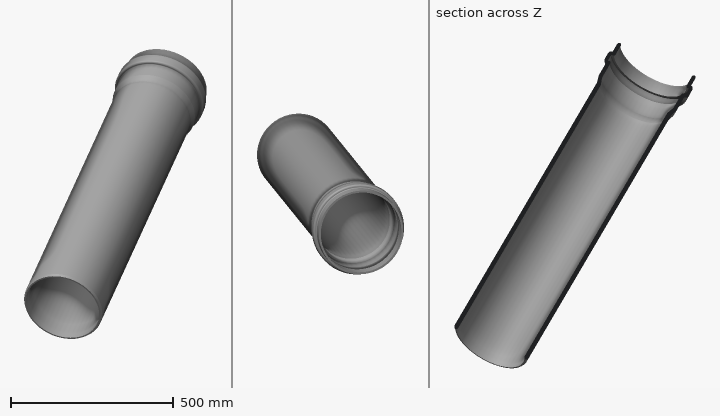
import cadquery as cq

length = 1134.0
pipe_outer_radius = 251.0 / 2
pipe_inner_radius = 235.0 / 2
spigot_chamfer_length = 7.0
spigot_chamfer_depth = 3.0

socket_outer_radius = 264.0 / 2
socket_inner_radius = 252.0 / 2
cone_start = length - 155.0
cone_end = length - 130.0

bead_outer_radius = 285.0 / 2
bead_groove_radius = 274.0 / 2
bead_start = length - 77.0
bead_end = length - 37.0
bead_crest_fillet = 7.0
bead_root_fillet = 2.8
bead_wall = bead_outer_radius - bead_groove_radius


def disc(radius, start, end):
    """Solid cylinder on the Y axis between two stations."""
    return cq.Workplane("XZ", origin=(0, start, 0)).circle(radius).extrude(start - end)


def revolve_profile(points):
    """Turn a closed (radius, y) outline around the Y axis."""
    return cq.Workplane("XY").polyline(points).close().revolve(360, (0, 0, 0), (0, 1, 0))


def make_outer_body():
    """Solid outer form of spigot, cone, socket and bead."""
    body = revolve_profile([
        (0, 0),
        (pipe_outer_radius - spigot_chamfer_depth, 0),
        (pipe_outer_radius, spigot_chamfer_length),
        (pipe_outer_radius, cone_start),
        (socket_outer_radius, cone_end),
        (socket_outer_radius, bead_start),
        (bead_outer_radius, bead_start),
        (bead_outer_radius, bead_end),
        (socket_outer_radius, bead_end),
        (socket_outer_radius, length),
        (0, length),
    ])

    def bead_edges(radius):
        return cq.selectors.BoxSelector(
            (-radius, bead_start - bead_wall, -radius),
            (radius, bead_end + bead_wall, radius),
        )

    def circles_of_radius(radius):
        return body.edges(bead_edges(radius)).edges("%CIRCLE").filter(
            lambda edge: abs(edge.radius() - radius) < bead_root_fillet
        )

    body = circles_of_radius(bead_outer_radius).fillet(bead_crest_fillet)
    return circles_of_radius(socket_outer_radius).fillet(bead_root_fillet)


def make_bore():
    """Pipe bore, inner cone, socket bore and seal groove."""
    bore = revolve_profile([
        (0, 0),
        (pipe_inner_radius, 0),
        (pipe_inner_radius, cone_start),
        (socket_inner_radius, cone_end),
        (socket_inner_radius, length),
        (0, length),
    ])
    return bore.union(disc(bead_groove_radius, bead_start + bead_wall, bead_end - bead_wall))


result = make_outer_body().cut(make_bore())